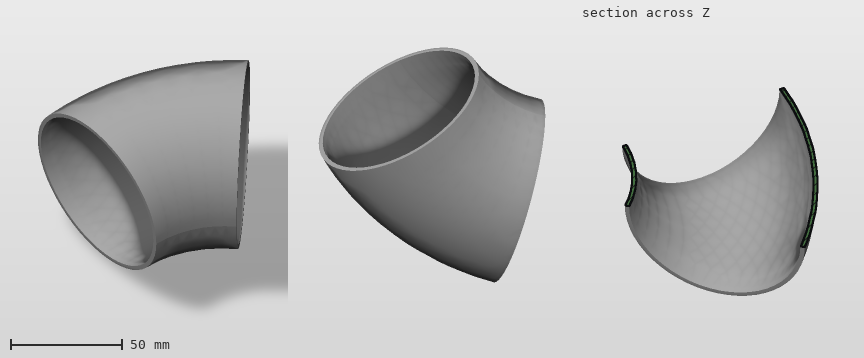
import cadquery as cq
import math

BEND_RADIUS = 90.0
BEND_ANGLE = 45.0
INLET_DIAMETER = 80.9
OUTLET_DIAMETER = 84.7
WALL = 2.0


def centerline_point(angle):
    """Point on the bend, which starts at the origin along +Y and turns toward +X."""
    turn = math.radians(angle)
    return (BEND_RADIUS * (1 - math.cos(turn)), BEND_RADIUS * math.sin(turn))


def section_frame(angle):
    """Center and normal of the cross-section after turning through the given angle."""
    turn = math.radians(angle)
    center = cq.Vector(*centerline_point(angle))
    normal = cq.Vector(math.sin(turn), math.cos(turn), 0)
    return center, normal


def tapered_bend(inlet_diameter, outlet_diameter):
    """Solid bend swept between the two end circles."""
    path = cq.Workplane("XY").moveTo(0, 0).threePointArc(
        centerline_point(BEND_ANGLE / 2),
        centerline_point(BEND_ANGLE),
    )
    inlet = cq.Wire.makeCircle(inlet_diameter / 2, *section_frame(0))
    outlet = cq.Wire.makeCircle(outlet_diameter / 2, *section_frame(BEND_ANGLE))
    return cq.Workplane(cq.Solid.sweep_multi([inlet, outlet], path.val()))


outer = tapered_bend(INLET_DIAMETER, OUTLET_DIAMETER)
bore = tapered_bend(INLET_DIAMETER - 2 * WALL, OUTLET_DIAMETER - 2 * WALL)
result = outer.cut(bore)